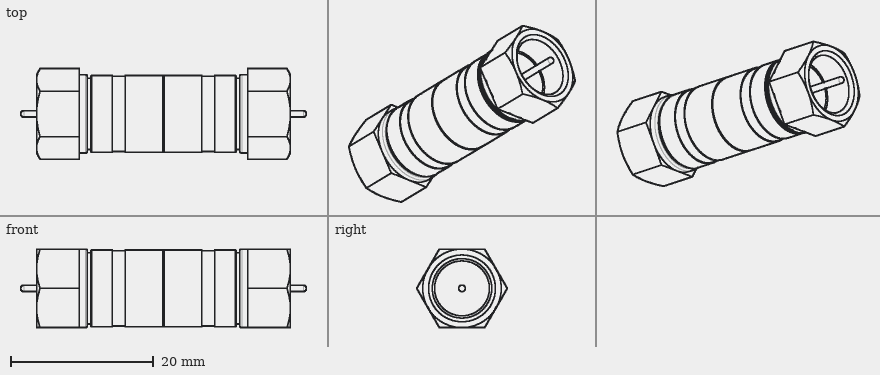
import cadquery as cq
import math

HALF_LENGTH = 20.0

HEX_SIDES = 6
ACROSS_FLATS = 11.0
NUT_FRONT = 17.75
HEX_BACK = 11.75
COLLAR_END = 10.65
COLLAR_FILLET = 0.3
HEX_BEVEL_ANGLE = 30.0
BORE_RADIUS = 4.15
BORE_FLOOR = 13.15
BORE_CHAMFER = 0.52

BARREL_RADIUS = 5.4
BARREL_END = 10.15
BARREL_END_CHAMFER = 0.12
JOINT_CHAMFER = 0.1
BAND_RADIUS = 5.3
BAND_START = 5.35
BAND_END = 7.15
NECK_RADIUS = 5.0
SPIGOT_RADIUS = 3.85

PIN_DIAMETER = 0.92
PIN_SEAT_DEPTH = 2.0

FLAT_RADIUS = ACROSS_FLATS / 2
CORNER_RADIUS = FLAT_RADIUS / math.cos(math.pi / HEX_SIDES)
HEX_BEVEL_LENGTH = (CORNER_RADIUS - FLAT_RADIUS) * math.tan(math.radians(HEX_BEVEL_ANGLE))
PIN_RADIUS = PIN_DIAMETER / 2
PIN_SEAT = BORE_FLOOR - PIN_SEAT_DEPTH

DIRECTIONS = (1, -1)


def place_end(solid, direction):
    """Leave a +X end part in place, or turn it about Z to the -X end."""
    if direction > 0:
        return solid
    return solid.rotate((0, 0, 0), (0, 0, 1), 180)


def disc(start, end, radius):
    """Cylinder along X between two stations."""
    return cq.Workplane("YZ").workplane(offset=start).circle(radius).extrude(end - start)


def revolve_about_x(profile):
    """Turn a closed XY profile around the X axis."""
    return profile.close().revolve(360, (0, 0, 0), (1, 0, 0))


def make_nut():
    """Hex nut with corners on Y, a round collar behind it and a stepped bore."""
    hexagon = (
        cq.Workplane("YZ")
        .workplane(offset=HEX_BACK)
        .polygon(HEX_SIDES, 2 * CORNER_RADIUS)
        .extrude(NUT_FRONT - HEX_BACK)
    )
    envelope = revolve_about_x(
        cq.Workplane("XY")
        .moveTo(HEX_BACK, 0)
        .lineTo(HEX_BACK, CORNER_RADIUS)
        .lineTo(NUT_FRONT - HEX_BEVEL_LENGTH, CORNER_RADIUS)
        .lineTo(NUT_FRONT, FLAT_RADIUS)
        .lineTo(NUT_FRONT, 0)
    )
    collar = disc(COLLAR_END, HEX_BACK, FLAT_RADIUS).faces("<X").edges().fillet(COLLAR_FILLET)
    bore = revolve_about_x(
        cq.Workplane("XY")
        .moveTo(COLLAR_END, 0)
        .lineTo(COLLAR_END, SPIGOT_RADIUS)
        .lineTo(BORE_FLOOR, SPIGOT_RADIUS)
        .lineTo(BORE_FLOOR, BORE_RADIUS)
        .lineTo(NUT_FRONT - BORE_CHAMFER, BORE_RADIUS)
        .lineTo(NUT_FRONT, BORE_RADIUS + BORE_CHAMFER)
        .lineTo(NUT_FRONT, 0)
    )
    return hexagon.intersect(envelope).union(collar).cut(bore)


def make_barrel_half():
    """Barrel half with a shallow band, a neck against the nut and a spigot inside it."""
    body = revolve_about_x(
        cq.Workplane("XY")
        .moveTo(0, 0)
        .lineTo(0, BARREL_RADIUS - JOINT_CHAMFER)
        .lineTo(JOINT_CHAMFER, BARREL_RADIUS)
        .lineTo(BAND_START, BARREL_RADIUS)
        .lineTo(BAND_START, BAND_RADIUS)
        .lineTo(BAND_END, BAND_RADIUS)
        .lineTo(BAND_END, BARREL_RADIUS)
        .lineTo(BARREL_END - BARREL_END_CHAMFER, BARREL_RADIUS)
        .lineTo(BARREL_END, BARREL_RADIUS - BARREL_END_CHAMFER)
        .lineTo(BARREL_END, NECK_RADIUS)
        .lineTo(COLLAR_END, NECK_RADIUS)
        .lineTo(COLLAR_END, SPIGOT_RADIUS)
        .lineTo(BORE_FLOOR, SPIGOT_RADIUS)
        .lineTo(BORE_FLOOR, 0)
    )
    return body.cut(disc(PIN_SEAT, BORE_FLOOR, PIN_RADIUS))


def make_pin():
    """Round pin with a hemispherical tip, seated in the barrel half."""
    return disc(PIN_SEAT, HALF_LENGTH - PIN_RADIUS, PIN_RADIUS).union(
        cq.Workplane("XY").sphere(PIN_RADIUS).translate((HALF_LENGTH - PIN_RADIUS, 0, 0))
    )


bodies = []
for direction in DIRECTIONS:
    barrel_half = place_end(make_barrel_half(), direction)
    nut = place_end(make_nut(), direction)
    pin = place_end(make_pin(), direction)
    bodies += [barrel_half.val(), nut.val(), pin.val()]

result = cq.Compound.makeCompound(bodies)